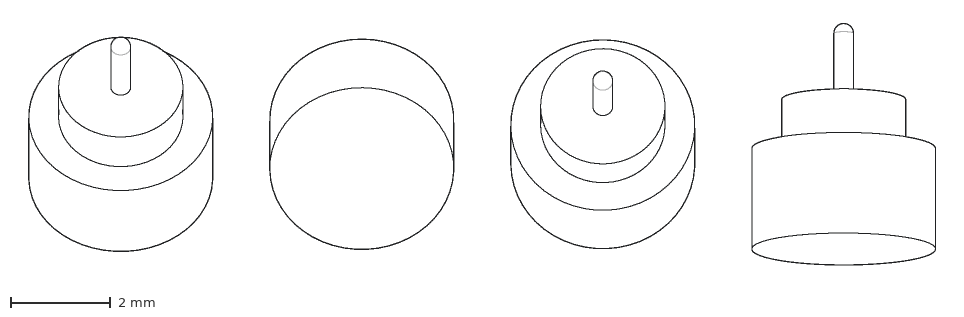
import cadquery as cq

total_height = 4.6
body_diameter = 3.7
body_height = 2.05
collar_diameter = 2.5
collar_height = 1.0
pin_diameter = 0.4

collar_top = body_height + collar_height
pin_height = total_height - collar_top
pin_radius = pin_diameter / 2


def cylinder(diameter, height, base_z):
    """Upright cylinder on the Z axis, standing at base_z."""
    return cq.Workplane("XY").workplane(offset=base_z).circle(diameter / 2).extrude(height)


def round_tipped_pin():
    """Pin with a hemispherical tip, standing on the collar."""
    shoulder_z = total_height - pin_radius
    tip = cq.Workplane("XY").sphere(pin_radius).translate((0, 0, shoulder_z))
    shank = cylinder(pin_diameter, pin_height - pin_radius, collar_top)
    return shank.union(tip)


body = cylinder(body_diameter, body_height, 0)
collar = cylinder(collar_diameter, collar_height, body_height)
result = body.union(collar).union(round_tipped_pin())